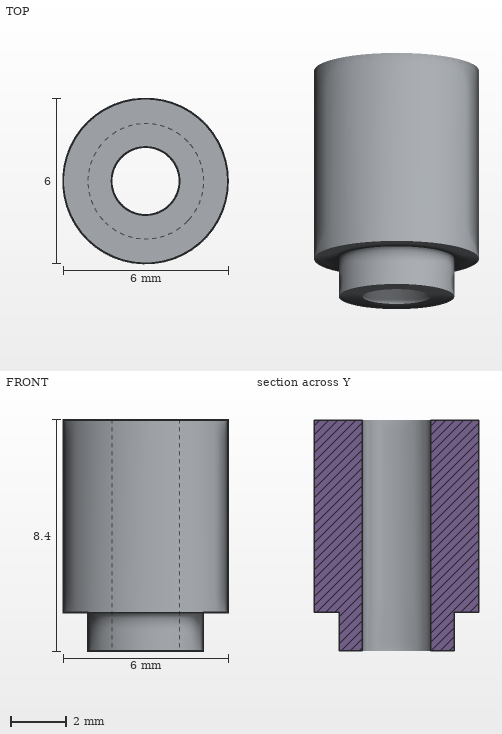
import cadquery as cq

total_height = 8.4
body_diameter = 6.0
spigot_diameter = 4.2
spigot_height = 1.4
bore_diameter = 2.46

body_height = total_height - spigot_height

spigot = cq.Workplane("XY").circle(spigot_diameter / 2).extrude(spigot_height)

spacer = spigot.faces(">Z").workplane().circle(body_diameter / 2).extrude(body_height)

result = spacer.faces(">Z").workplane().hole(bore_diameter)